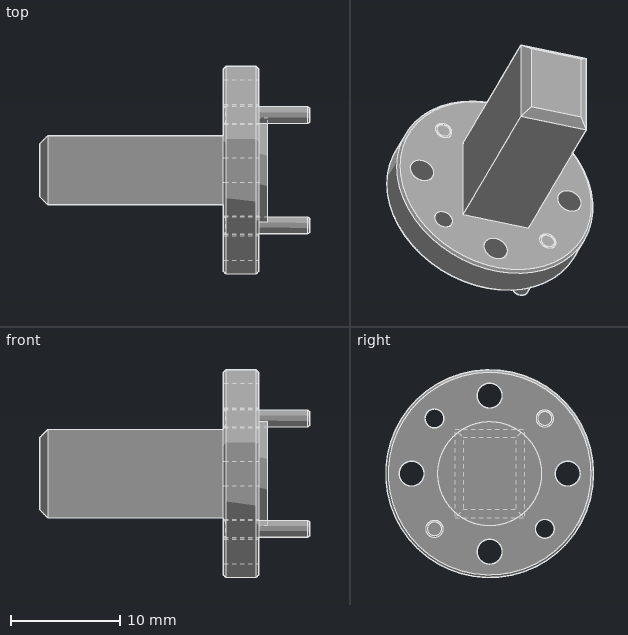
import cadquery as cq
import math


flange_diameter = 19.05
flange_thickness = 3.27
flange_chamfer = 0.25

boss_diameter = 9.525
boss_height = 0.81

overall_length = 24.75
pin_length = 7.94
body_length = overall_length - pin_length
body_width = 6.35
body_height = 8.13
body_chamfer = 0.76

bolt_circle_diameter = 14.29
screw_hole_diameter = 2.26
dowel_hole_diameter = 1.70

pin_diameter = 1.57
pin_chamfer_length = 0.2
pin_chamfer_depth = 0.15

screw_hole_angles = [0, 90, 180, 270]
dowel_hole_angles = [135, 315]
pin_angles = [45, 225]


def bolt_circle_points(angles):
    """(Y, Z) points on the bolt circle at the given angles in degrees."""
    radius = bolt_circle_diameter / 2
    return [
        (radius * math.cos(math.radians(angle)), radius * math.sin(math.radians(angle)))
        for angle in angles
    ]


def through_holes(diameter, angles):
    """Cutters that pass through the flange thickness."""
    return (
        cq.Workplane("YZ")
        .pushPoints(bolt_circle_points(angles))
        .circle(diameter / 2)
        .extrude(flange_thickness)
    )


def make_housing():
    """Flange, boss and rectangular body as one solid."""
    flange = (
        cq.Workplane("YZ")
        .circle(flange_diameter / 2)
        .extrude(flange_thickness)
        .edges()
        .chamfer(flange_chamfer)
    )
    boss = (
        cq.Workplane("YZ")
        .circle(boss_diameter / 2)
        .extrude(flange_thickness + boss_height)
    )
    body = (
        cq.Workplane("YZ")
        .rect(body_width, body_height)
        .extrude(-body_length)
        .faces("<X")
        .chamfer(body_chamfer)
    )
    solid = flange.union(boss).union(body)
    solid = solid.cut(through_holes(screw_hole_diameter, screw_hole_angles))
    solid = solid.cut(through_holes(dowel_hole_diameter, dowel_hole_angles))
    return solid.cut(through_holes(pin_diameter, pin_angles))


def make_pin(y, z):
    """Dowel pin along X, tapered at both ends, revolved from its half profile."""
    radius = pin_diameter / 2
    end_radius = radius - pin_chamfer_depth
    return (
        cq.Workplane("XY")
        .moveTo(0, 0)
        .lineTo(0, end_radius)
        .lineTo(pin_chamfer_length, radius)
        .lineTo(pin_length - pin_chamfer_length, radius)
        .lineTo(pin_length, end_radius)
        .lineTo(pin_length, 0)
        .close()
        .revolve(360, (0, 0, 0), (1, 0, 0))
        .translate((0, y, z))
    )


housing = make_housing()
pins = [make_pin(y, z) for y, z in bolt_circle_points(pin_angles)]

result = cq.Compound.makeCompound([housing.solids().val(), *[pin.val() for pin in pins]])